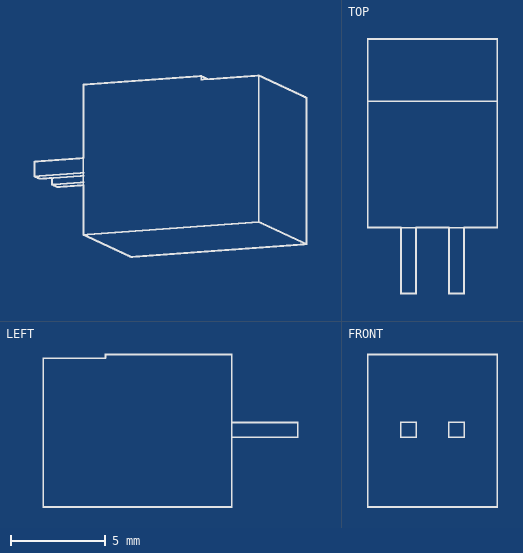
import cadquery as cq

housing_width = 6.88
housing_length = 10.0
housing_height = 8.1
step_length = 3.3
step_drop = 0.2

pin_count = 2
pin_side = 0.8
pin_length = 3.5
pin_pitch = 2.54
pin_center_height = 4.1


def make_housing():
    """Stepped side profile in the YZ plane, extruded across the width."""
    step_start = housing_length - step_length
    step_height = housing_height - step_drop
    profile = [
        (0, 0),
        (housing_length, 0),
        (housing_length, step_height),
        (step_start, step_height),
        (step_start, housing_height),
        (0, housing_height),
    ]
    return cq.Workplane("YZ").polyline(profile).close().extrude(housing_width / 2, both=True)


def make_pin(center_x):
    """Square pin running forward (-Y) from the housing's front face at Y = 0."""
    return (
        cq.Workplane("XZ")
        .center(center_x, pin_center_height)
        .rect(pin_side, pin_side)
        .extrude(pin_length)
    )


housing = make_housing()

pins = []
for index in range(pin_count):
    pin_x = (index - (pin_count - 1) / 2) * pin_pitch
    pins.append(make_pin(pin_x))

result = cq.Compound.makeCompound([housing.val(), *[pin.val() for pin in pins]])